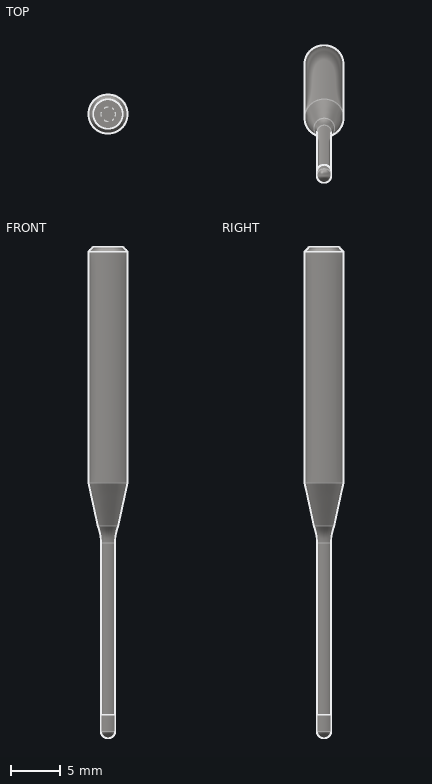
import cadquery as cq

TOTAL_LENGTH = 50.0
BOTTOM_Z = -TOTAL_LENGTH / 2
TOP_Z = TOTAL_LENGTH / 2

TIP_RADIUS = 0.75
TIP_LENGTH = 2.4

NECK_DIAMETER = 1.45
NECK_RADIUS = NECK_DIAMETER / 2
NECK_END_HEIGHT = 19.9
CONE_START_HEIGHT = 21.6
CONE_START_RADIUS = 1.05

SHANK_RADIUS = 2.0
SHANK_START_HEIGHT = 26.0
CHAMFER_HEIGHT = 0.5
CHAMFER_WIDTH = 0.5

TIP_TOP_Z = BOTTOM_Z + TIP_LENGTH


def make_tip():
    """Short cylinder with a hemispherical lower end."""
    ball_center_z = BOTTOM_Z + TIP_RADIUS
    diagonal = TIP_RADIUS * 0.5 ** 0.5
    return (
        cq.Workplane("XZ")
        .moveTo(0, BOTTOM_Z)
        .threePointArc((diagonal, ball_center_z - diagonal), (TIP_RADIUS, ball_center_z))
        .lineTo(TIP_RADIUS, TIP_TOP_Z)
        .lineTo(0, TIP_TOP_Z)
        .close()
        .revolve(360, (0, 0), (0, 1))
    )


def make_shank():
    """Neck, concave flare, cone and shank with a chamfered top, as one turned solid."""
    return (
        cq.Workplane("XZ")
        .moveTo(0, TIP_TOP_Z)
        .lineTo(NECK_RADIUS, TIP_TOP_Z)
        .lineTo(NECK_RADIUS, BOTTOM_Z + NECK_END_HEIGHT)
        .tangentArcPoint((CONE_START_RADIUS, BOTTOM_Z + CONE_START_HEIGHT), relative=False)
        .lineTo(SHANK_RADIUS, BOTTOM_Z + SHANK_START_HEIGHT)
        .lineTo(SHANK_RADIUS, TOP_Z - CHAMFER_HEIGHT)
        .lineTo(SHANK_RADIUS - CHAMFER_WIDTH, TOP_Z)
        .lineTo(0, TOP_Z)
        .close()
        .revolve(360, (0, 0), (0, 1))
    )


tip = make_tip()
shank = make_shank()

result = cq.Compound.makeCompound([tip.val(), shank.val()])